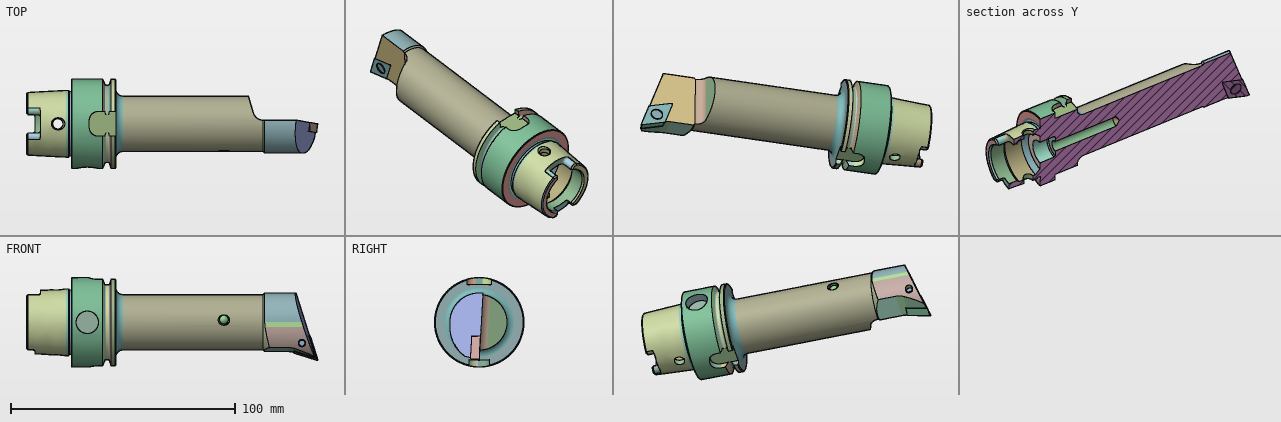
import cadquery as cq
import math


shank_length = 19.9
shank_tip_radius = 14.03
shank_base_radius = 14.95
shank_tip_chamfer = 0.5
taper_end = -2.3
relief_length = 1.2
relief_bevel = 0.3
relief_radius = 14.45
face_recess_floor_radius = 15.3
face_recess_radius = 16.3
face_recess_depth = 0.3

shank_bore_radius = 10.9
shank_bore_bevel = 0.4
shank_bore_bevel_length = 1.0
shank_bore_length = 7.8
clamp_groove_radius = 12.0
bore_floor_x = 0.0
bore_floor_radius = 10.1
floor_bevel = 0.45
tube_seat_radius = 6.0
tube_seat_bevel = 0.6
tube_seat_depth = 8.0
coolant_radius = 2.7
coolant_end = 40.0
drill_half_angle = 59.0

drive_slot_width = 8.0
drive_slot_fillet = 2.0
drive_slot_floor_fillet = 0.8
drive_slot_mouth_bevel = 0.7
upper_drive_slot_end = -13.8
lower_drive_slot_end = -16.2

clamp_hole_x = -6.0
clamp_hole_radius = 2.3
clamp_hole_mouth_radius = 2.9

flange_length = 19.9
flange_radius = 20.0
flange_front_chamfer = 0.3
flange_rear_chamfer = 0.4
groove_start = 14.0
groove_floor_start = 15.2
groove_floor_end = 16.85
groove_end = 17.75
groove_floor_radius = 17.3
groove_floor_fillet = 0.5

keyway_start = 8.0
keyway_corner_radius = 4.0
keyway_floor = 16.8
upper_keyway_width = 11.0
lower_keyway_width = 9.0

code_hole_x = 7.15
code_hole_radius = 5.0
code_hole_depth = 4.6

bar_radius = 12.4
bar_fillet = 3.2
bar_end = 85.6

ball_x = 68.1
ball_z = 1.2
ball_radius = 2.0
ball_recess = 0.5
ball_hole_mouth_radius = 2.6

head_radius = 13.1
head_limit = 115.0
lobe_radius = 16.0
lobe_flat_depth = 2.15
floor_depth = 13.1
flare_fillet = 10.0
rake_tilt = 3.25
clearance = 7.0
flank_inset = 0.3
lead_angle = 17.5

scoop_start = 78.75
scoop_wall_angle = 15.5
scoop_fillet = 4.5

insert_angle = 55.0
insert_circle = 9.525
insert_thickness = 3.97
nose_radius = 0.4
tip_reach = 110.0
tip_depth = 17.0
screw_radius = 1.6
screw_head_radius = 2.6
screw_head_recess = 0.2
screw_head_land = 0.3
screw_head_height = 2.2
screw_length = 11.2
screw_end_chamfer = 0.3

REACH = 60.0


def tan(angle):
    return math.tan(math.radians(angle))


def revolve_about_x(points):
    """Turn a closed outline of (x, radius) points about the bar axis."""
    return cq.Workplane("XY").polyline(points).close().revolve(360, (0, 0, 0), (1, 0, 0))


INTO_HEAD = cq.Vector(0, -math.cos(math.radians(rake_tilt)), math.sin(math.radians(rake_tilt)))
UP_FACE = cq.Vector(0, math.sin(math.radians(rake_tilt)), math.cos(math.radians(rake_tilt)))


def rake_plane(x, height):
    """Plane of the rake face: local x along the bar, local y up the face, normal into the head."""
    origin = cq.Vector(x, 0, -tip_depth) + UP_FACE * height
    return cq.Plane(origin=origin, xDir=(1, 0, 0), normal=INTO_HEAD)


DIAGONAL = math.sqrt(0.5)
half_angle_sine = math.sin(math.radians(insert_angle / 2))
nose_to_corner = nose_radius / half_angle_sine * DIAGONAL
corner_x = tip_reach - nose_radius + nose_to_corner
corner_height = nose_radius - nose_to_corner
insert_half_diagonal = insert_circle / 2 / half_angle_sine
insert_x = corner_x - insert_half_diagonal * DIAGONAL
insert_height = corner_height + insert_half_diagonal * DIAGONAL



def turned_blank():
    outline = (
        cq.Workplane("XY")
        .moveTo(-shank_length, 0)
        .lineTo(-shank_length, shank_tip_radius - shank_tip_chamfer)
        .lineTo(-shank_length + shank_tip_chamfer, shank_tip_radius)
        .lineTo(taper_end, shank_base_radius)
        .lineTo(-relief_length, shank_base_radius)
        .lineTo(-relief_length + relief_bevel, relief_radius)
        .lineTo(face_recess_depth, relief_radius)
        .lineTo(face_recess_depth, face_recess_floor_radius)
        .lineTo(0, face_recess_radius)
        .lineTo(0, flange_radius - flange_front_chamfer)
        .lineTo(flange_front_chamfer, flange_radius)
        .lineTo(groove_start, flange_radius)
        .lineTo(groove_floor_start, groove_floor_radius)
        .lineTo(groove_floor_end, groove_floor_radius)
        .lineTo(groove_end, flange_radius)
        .lineTo(flange_length - flange_rear_chamfer, flange_radius)
        .lineTo(flange_length, flange_radius - flange_rear_chamfer)
        .lineTo(flange_length, bar_radius + bar_fillet)
        .radiusArc((flange_length + bar_fillet, bar_radius), -bar_fillet)
        .lineTo(bar_end, bar_radius)
        .lineTo(bar_end, 0)
        .close()
    )
    blank = outline.revolve(360, (0, 0, 0), (1, 0, 0))
    circles = blank.edges("%CIRCLE")
    floor_edges = circles.filter(lambda edge: math.isclose(edge.radius(), groove_floor_radius))
    return floor_edges.fillet(groove_floor_fillet)


def bores():
    mouth = -shank_length
    step = mouth + shank_bore_length
    groove_start_x = step + clamp_groove_radius - shank_bore_radius
    groove_end_x = bore_floor_x - floor_bevel - (clamp_groove_radius - bore_floor_radius)
    seat = bore_floor_x + tube_seat_depth
    point = coolant_radius / tan(drill_half_angle)
    return revolve_about_x([
        (mouth, 0),
        (mouth, shank_bore_radius + shank_bore_bevel),
        (mouth + shank_bore_bevel_length, shank_bore_radius),
        (step, shank_bore_radius),
        (groove_start_x, clamp_groove_radius),
        (groove_end_x, clamp_groove_radius),
        (bore_floor_x - floor_bevel, bore_floor_radius),
        (bore_floor_x, bore_floor_radius - floor_bevel),
        (bore_floor_x, tube_seat_radius),
        (seat - tube_seat_bevel, tube_seat_radius),
        (seat, tube_seat_radius - tube_seat_bevel),
        (seat, coolant_radius),
        (coolant_end, coolant_radius),
        (coolant_end + point, 0),
    ])


slot_arc_y = drive_slot_width / 2 + drive_slot_fillet
slot_arc_z = math.sqrt((shank_tip_radius - drive_slot_fillet) ** 2 - slot_arc_y ** 2)
slot_lip_angle = math.degrees(math.atan2(slot_arc_z, slot_arc_y))


def drive_slot_outline(sketch, growth):
    """Slot section with rounded long edges, all set outward by `growth`."""
    radius = drive_slot_fillet - growth

    def arc_point(angle):
        angle = math.radians(angle)
        return slot_arc_y + radius * math.cos(angle), slot_arc_z + radius * math.sin(angle)

    wall = arc_point(180)
    middle = arc_point((180 + slot_lip_angle) / 2)
    lip = arc_point(slot_lip_angle)
    return (
        sketch.moveTo(-wall[0], 0)
        .lineTo(wall[0], 0)
        .lineTo(*wall)
        .threePointArc(middle, lip)
        .lineTo(lip[0], flange_radius)
        .lineTo(-lip[0], flange_radius)
        .lineTo(-lip[0], lip[1])
        .threePointArc((-middle[0], middle[1]), (-wall[0], wall[1]))
        .close()
    )


def drive_slot(side, end):
    """Slot across the shank's end wall, with a beveled mouth and a filleted inner end."""
    sketch = cq.Workplane("YZ", origin=(-shank_length, 0, 0))
    slot = drive_slot_outline(sketch, 0).extrude(end + shank_length)
    slot = slot.faces(">X").edges("(not |Y) and (not <Y) and (not >Y)").fillet(drive_slot_floor_fillet)
    wide_end = drive_slot_outline(sketch, drive_slot_mouth_bevel)
    narrow_plane = wide_end.workplane(offset=drive_slot_mouth_bevel, origin=(0, 0, 0))
    mouth = drive_slot_outline(narrow_plane, 0).loft(ruled=True)
    slot = slot.union(mouth)
    if side < 0:
        slot = slot.mirror("XY")
    return slot


def clamp_hole(side):
    """Countersunk hole through one shank wall, from the bar axis outward."""
    hole = (
        cq.Workplane("XY", origin=(clamp_hole_x, 0, 0))
        .circle(clamp_hole_radius)
        .extrude(side * flange_radius)
    )
    taper_slope = (shank_base_radius - shank_tip_radius) / shank_length
    surface = shank_base_radius + clamp_hole_x * taper_slope
    depth = clamp_hole_mouth_radius - clamp_hole_radius
    sink = cq.Solid.makeCone(
        clamp_hole_mouth_radius + depth, clamp_hole_radius, 2 * depth,
        cq.Vector(clamp_hole_x, 0, side * (surface + depth)), cq.Vector(0, 0, -side),
    )
    return hole, cq.Workplane(sink)


def keyway(side, width):
    """Flat-floored slot from the flange's rear face, with rounded corners at its closed end."""
    length = flange_length - keyway_start
    slot = (
        cq.Workplane("XY", origin=(keyway_start + length / 2, 0, keyway_floor))
        .rect(length, width)
        .extrude(flange_radius)
        .edges("|Z and <X")
        .fillet(keyway_corner_radius)
    )
    if side < 0:
        slot = slot.mirror("XY")
    return slot


def code_hole():
    return (
        cq.Workplane("XZ", origin=(code_hole_x, -flange_radius + code_hole_depth, 0))
        .circle(code_hole_radius)
        .extrude(2 * code_hole_depth)
    )


ball_y = -bar_radius + ball_recess + ball_radius


def ball_hole():
    """Blind hole that the ball seals, with a countersunk mouth."""
    floor_y = ball_y + ball_radius
    hole = cq.Workplane("XZ", origin=(ball_x, floor_y, ball_z)).circle(ball_radius).extrude(bar_radius)
    depth = ball_hole_mouth_radius - ball_radius
    sink = cq.Solid.makeCone(
        ball_hole_mouth_radius + depth, ball_radius, 2 * depth,
        cq.Vector(ball_x, -bar_radius - depth, ball_z), cq.Vector(0, 1, 0),
    )
    return hole.union(cq.Workplane(sink))


def scoop():
    """Clears the +Y side of the bar down to the rake face, along a sloping, filleted wall."""
    origin = rake_plane(0, -REACH / 2).origin
    plane = cq.Plane(origin=origin, xDir=-INTO_HEAD, normal=UP_FACE)
    wall_foot = scoop_start + bar_radius * tan(scoop_wall_angle)
    return (
        cq.Workplane(plane)
        .moveTo(0, -wall_foot)
        .lineTo(0, -head_limit)
        .lineTo(REACH, -head_limit)
        .lineTo(REACH, -wall_foot + REACH * tan(scoop_wall_angle))
        .close()
        .extrude(2 * REACH)
        .edges(cq.selectors.NearestToPointSelector((wall_foot, 0, 0)))
        .fillet(scoop_fillet)
    )


def head():
    """Cutting head: a round section with a lobe toward -Y, trimmed by the flanks below the rake face."""
    lobe_y = lobe_radius - head_radius
    arc_middle = lobe_radius * DIAGONAL
    round_part = cq.Workplane("YZ").circle(head_radius).extrude(head_limit)
    lobe = (
        cq.Workplane("YZ")
        .moveTo(lobe_y, 0)
        .lineTo(-head_radius, 0)
        .lineTo(-head_radius, -lobe_flat_depth)
        .threePointArc(
            (lobe_y - arc_middle, -lobe_flat_depth - arc_middle),
            (lobe_y, -lobe_flat_depth - lobe_radius),
        )
        .close()
        .extrude(head_limit)
    )
    front_cone = revolve_about_x([
        (bar_end, 0),
        (bar_end, bar_radius),
        (bar_end + bar_radius, 2 * bar_radius),
        (head_limit, 2 * bar_radius),
        (head_limit, 0),
    ])
    return round_part.union(lobe).intersect(front_cone).intersect(flank_block())


def flank_block():
    """Outline of the head on the rake face, drawn in by the clearance angle with depth."""
    inset = flank_inset / half_angle_sine * DIAGONAL
    tip_x = corner_x - inset
    tip_height = corner_height + inset
    floor_height = tip_depth - floor_depth
    flare_x = tip_x - (floor_height - tip_height) / tan(lead_angle)
    tangent = flare_fillet * tan(lead_angle / 2)
    lead = math.radians(lead_angle)
    arc_start = (flare_x + tangent * math.cos(lead), floor_height - tangent * math.sin(lead))
    arc_end = (flare_x - tangent, floor_height)
    back_x = bar_end - bar_radius
    return (
        cq.Workplane(rake_plane(0, 0))
        .moveTo(back_x, REACH)
        .lineTo(tip_x - (REACH - tip_height) * tan(lead_angle), REACH)
        .lineTo(tip_x, tip_height)
        .lineTo(*arc_start)
        .radiusArc(arc_end, -flare_fillet)
        .lineTo(back_x, floor_height)
        .close()
        .extrude(2 * head_radius, taper=clearance)
    )



def insert_block():
    """Rhombic insert without its hole: rounded corners and flanks at the clearance angle."""
    long_way = insert_half_diagonal * DIAGONAL
    short_way = long_way * tan(insert_angle / 2)
    corners = [
        (long_way, -long_way),
        (short_way, short_way),
        (-long_way, long_way),
        (-short_way, -short_way),
    ]
    return (
        cq.Workplane(rake_plane(insert_x, insert_height))
        .polyline(corners)
        .close()
        .offset2D(-nose_radius)
        .offset2D(nose_radius)
        .extrude(insert_thickness, taper=clearance)
    )


def screw_shape(top, end):
    """Countersunk screw about the insert's axis, from depth `top` to depth `end`."""
    profile = [
        (0, top),
        (screw_head_radius, top),
        (screw_head_radius, screw_head_recess + screw_head_land),
        (screw_radius, screw_head_height),
        (screw_radius, end - screw_end_chamfer),
        (screw_radius - screw_end_chamfer, end),
        (0, end),
    ]
    plane = rake_plane(insert_x, insert_height)
    across = cq.Plane(origin=plane.origin, xDir=plane.xDir, normal=-plane.yDir)
    return cq.Workplane(across).polyline(profile).close().revolve(360, (0, 0, 0), (0, 1, 0))


def build_holder():
    holder = turned_blank().union(head())
    holder = holder.cut(scoop()).cut(bores())
    for side in (1, -1):
        hole, sink = clamp_hole(side)
        holder = holder.cut(hole).cut(sink)
    holder = holder.cut(drive_slot(1, upper_drive_slot_end)).cut(drive_slot(-1, lower_drive_slot_end))
    holder = holder.cut(keyway(1, upper_keyway_width)).cut(keyway(-1, lower_keyway_width))
    holder = holder.cut(code_hole()).cut(ball_hole())
    return holder.cut(insert_block()).cut(screw_hole)


def build_ball():
    return cq.Workplane("XY", origin=(ball_x, ball_y, ball_z)).sphere(ball_radius)


screw_hole = screw_shape(0, REACH)
holder = build_holder()
insert = insert_block().cut(screw_hole)
screw = screw_shape(screw_head_recess, screw_length)
plug_ball = build_ball()

result = cq.Compound.makeCompound([holder.val(), insert.val(), screw.val(), plug_ball.val()])